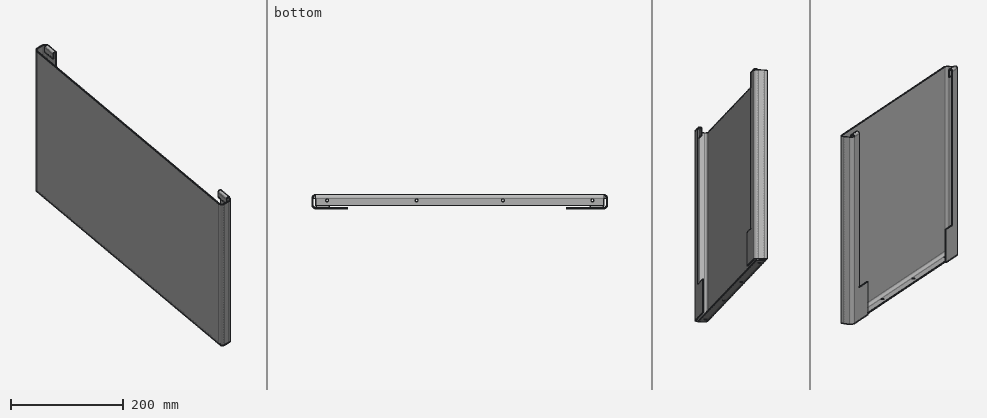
import cadquery as cq

width = 524.0
depth = 25.5
height = 349.0

sheet = 2.0
bend_radius = 7.5
inner_bend_radius = bend_radius - sheet
hem_radius = 3.95
panel_height = height - hem_radius

left_foot_width = 63.0
right_foot_width = 73.0
foot_height = 63.0
tab_inset = bend_radius
tab_width = 23.5
hem_flap_length = 11.5
lip_width = tab_inset + tab_width

flange_rear_gap = 6.0
flange_end_inset = 6.5
hole_diameter = 4.5
hole_front_distance = 10.5
hole_offsets = (76.5, 235.5)

half_width = width / 2
flange_depth = depth - flange_rear_gap


def box(x_min, x_max, y_min, y_max, z_min, z_max):
    size = (x_max - x_min, y_max - y_min, z_max - z_min)
    return cq.Workplane("XY").box(*size, centered=False).translate((x_min, y_min, z_min))


def rounded_block(inset, radius):
    """Block with round upright edges and a round lower front edge, inset from the outside."""
    plan = box(
        inset - half_width, half_width - inset, inset, depth - inset, 0, panel_height
    ).edges("|Z").fillet(radius)
    side = box(
        -half_width, half_width, inset, depth, inset, panel_height
    ).edges("|X and <Y and <Z").fillet(radius)
    return plan.intersect(side)


def folded_panel():
    """Front panel with side walls, footed rear lips and a bottom flange."""
    shell = rounded_block(0, bend_radius).cut(rounded_block(sheet, inner_bend_radius))
    rear_opening = box(
        left_foot_width - half_width, half_width - right_foot_width,
        flange_depth, depth, 0, foot_height,
    ).union(box(
        lip_width - half_width, half_width - lip_width,
        flange_depth, depth, foot_height, panel_height,
    ))
    flange_end = half_width - flange_end_inset
    flange_rear_relief = box(-flange_end, flange_end, flange_depth, depth, 0, sheet)
    shell = shell.cut(rear_opening).cut(flange_rear_relief)

    notch = box(flange_end, half_width, 0, depth, 0, sheet)
    return shell.cut(notch).cut(notch.mirror("YZ"))


def hemmed_tab():
    """Left tab: the rear lip folded forward through a half turn and down inside."""
    front = depth - 2 * hem_radius
    flap_bottom = panel_height - hem_flap_length
    inner_radius = hem_radius - sheet
    profile = (
        cq.Workplane("YZ")
        .moveTo(depth, flap_bottom)
        .lineTo(depth, panel_height)
        .threePointArc((depth - hem_radius, height), (front, panel_height))
        .lineTo(front, flap_bottom)
        .lineTo(front + sheet, flap_bottom)
        .lineTo(front + sheet, panel_height)
        .threePointArc(
            (depth - hem_radius, panel_height + inner_radius), (depth - sheet, panel_height)
        )
        .lineTo(depth - sheet, flap_bottom)
        .close()
    )
    return profile.extrude(tab_width).translate((tab_inset - half_width, 0, 0))


def flange_holes():
    """Row of round holes through the bottom flange."""
    centers = [(side * x, hole_front_distance) for side in (-1, 1) for x in hole_offsets]
    return cq.Workplane("XY").pushPoints(centers).circle(hole_diameter / 2).extrude(sheet)


left_tab = hemmed_tab()
result = folded_panel().union(left_tab).union(left_tab.mirror("YZ")).cut(flange_holes())